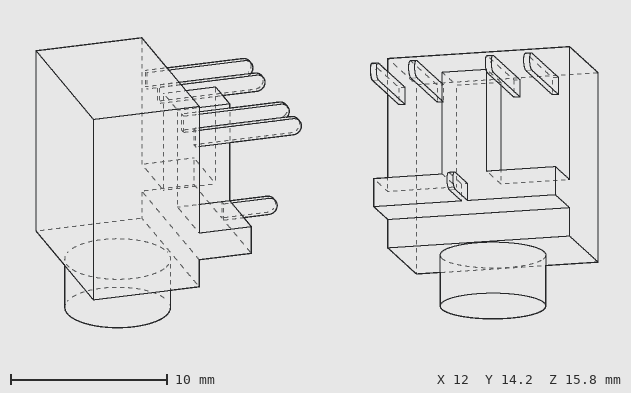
import cadquery as cq

body_width = 12.0
body_depth = 7.08
body_height = 12.45

total_height = 15.8
barrel_diameter = 6.75
barrel_length = total_height - body_height

standoff_length = 3.49
rib_width = 2.94
rib_top = -2.05
foot_top = -8.74
foot_bottom = -10.59

total_depth = 14.15
pin_length = total_depth - body_depth
pin_pitch = 2.53
pin_thickness = 0.4
pin_height = 1.12
upper_pin_z = -2.53
lower_pin_z = foot_bottom + pin_height / 2
upper_pin_columns = (-2, -1, 1, 2)


def standoff(width, top, bottom):
    """Block centred on X, running back from the housing between two heights."""
    return (
        cq.Workplane("XY", origin=(0, body_depth, bottom))
        .rect(width, 2 * standoff_length)
        .extrude(top - bottom)
    )


def pin(x, z):
    """Flat pin running back from the housing to a fully rounded tip."""
    radius = pin_height / 2
    tip = body_depth + pin_length
    return (
        cq.Workplane("YZ", origin=(x, 0, z))
        .moveTo(body_depth, -radius)
        .lineTo(tip - radius, -radius)
        .threePointArc((tip, 0), (tip - radius, radius))
        .lineTo(body_depth, radius)
        .close()
        .extrude(pin_thickness / 2, both=True)
    )


housing = cq.Workplane("XY").box(
    body_width, body_depth, body_height, centered=(True, False, False)
).translate((0, 0, -body_height))

barrel = (
    cq.Workplane("XY", origin=(0, body_depth / 2, -total_height))
    .circle(barrel_diameter / 2)
    .extrude(barrel_length)
)

foot = standoff(body_width, foot_top, foot_bottom)
rib = standoff(rib_width, rib_top, foot_top)

result = housing.union(barrel).union(foot).union(rib)
for column in upper_pin_columns:
    result = result.union(pin(column * pin_pitch, upper_pin_z))
result = result.union(pin(0, lower_pin_z))